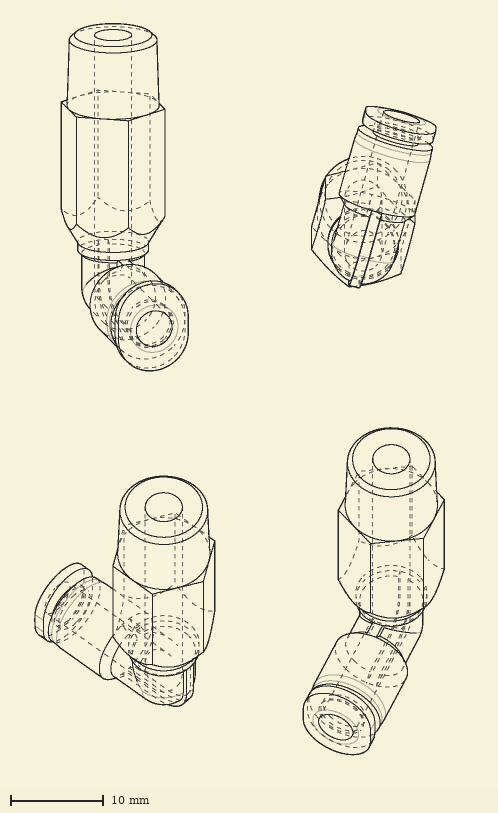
import cadquery as cq
import math

release_height = 9.82
total_height = 33.4
stem_top = total_height - release_height / 2
thread_chamfer_height = 0.55
thread_base = 20.55
stem_collar_top = 5.15
stem_collar_chamfer = 0.4

thread_base_diameter = 9.95
thread_top_diameter = 9.5
thread_tip_diameter = 8.35
hex_across_flats = 10.0
hex_across_corners = hex_across_flats / math.cos(math.pi / 6)
hex_cone_height = 3.3
stem_collar_diameter = 7.65
bore_diameter = 4.0

elbow_radius = 3.4
body_diameter = 8.5
body_radius = body_diameter / 2
stem_collar_base = body_radius
web_thickness = 1.15
web_left = -stem_collar_diameter / 2

body_cone_start = 4.6
body_start = 5.55
body_taper_start = 11.75
body_taper_end = 12.55
body_end = 13.05
neck_flare_start = 13.7
release_start = 13.95
release_rim_end = 15.03
overall_length = 21.28
release_end = overall_length - hex_across_corners / 2

body_tip_diameter = 8.3
neck_diameter = 5.0
neck_flare_diameter = 5.2
release_width = 7.85
release_face_diameter = 5.35


def revolve_about_z(profile):
    """Revolve a closed (radius, z) profile around the inlet axis."""
    return cq.Workplane("XZ").polyline(profile).close().revolve(360, (0, 0), (0, 1))


def revolve_about_x(profile):
    """Revolve a closed (x, radius) profile around the outlet axis."""
    return cq.Workplane("XZ").polyline(profile).close().revolve(360, (0, 0), (1, 0))


def make_elbow(radius, arm_length, stem_height):
    """Two equal cylinders joined by a sphere at the crossing of the axes."""
    stem = cq.Workplane("XY").circle(radius).extrude(stem_height)
    arm = cq.Workplane("YZ").circle(radius).extrude(arm_length)
    return cq.Workplane("XY").sphere(radius).union(stem).union(arm)


def make_thread():
    return revolve_about_z([
        (0, thread_base),
        (thread_base_diameter / 2, thread_base),
        (thread_top_diameter / 2, stem_top - thread_chamfer_height),
        (thread_tip_diameter / 2, stem_top),
        (0, stem_top),
    ])


def make_hex():
    """Hexagonal prism whose lower end is turned to a cone."""
    prism = (
        cq.Workplane("XY", origin=(0, 0, stem_collar_top))
        .polygon(6, hex_across_corners)
        .extrude(thread_base - stem_collar_top)
    )
    envelope = revolve_about_z([
        (0, stem_collar_top),
        (stem_collar_diameter / 2, stem_collar_top),
        (hex_across_corners / 2, stem_collar_top + hex_cone_height),
        (hex_across_corners / 2, thread_base),
        (0, thread_base),
    ])
    return prism.intersect(envelope)


def make_stem_collar():
    collar_radius = stem_collar_diameter / 2
    lower_edge = stem_collar_base - stem_collar_chamfer
    return revolve_about_z([
        (0, lower_edge),
        (elbow_radius, lower_edge),
        (collar_radius, stem_collar_base),
        (collar_radius, stem_collar_top),
        (0, stem_collar_top),
    ])


def make_web():
    """Plate in the plane of both axes, rounded at the outer corner of the elbow."""
    corner_x = web_left + body_radius
    corner_offset = body_radius / math.sqrt(2)
    return (
        cq.Workplane("XZ")
        .moveTo(web_left, body_radius)
        .lineTo(web_left, 0)
        .threePointArc((corner_x - corner_offset, -corner_offset), (corner_x, -body_radius))
        .lineTo(body_start, -body_radius)
        .lineTo(body_start, body_radius)
        .close()
        .extrude(web_thickness / 2, both=True)
    )


def make_outlet_body():
    """Tapered sleeve followed by the narrow neck of the release button."""
    return revolve_about_x([
        (body_cone_start, 0),
        (body_cone_start, elbow_radius),
        (body_start, body_radius),
        (body_taper_start, body_radius),
        (body_taper_end, body_tip_diameter / 2),
        (body_end, body_tip_diameter / 2),
        (body_end, neck_diameter / 2),
        (neck_flare_start, neck_diameter / 2),
        (release_start, neck_flare_diameter / 2),
        (release_start, 0),
    ])


def make_release_button():
    """Obround button with a shallow conical outer face."""
    button = (
        cq.Workplane("YZ", origin=(release_start, 0, 0))
        .slot2D(release_height, release_width, 90)
        .extrude(release_end - release_start)
    )
    envelope = revolve_about_x([
        (release_start, 0),
        (release_start, release_height / 2),
        (release_rim_end, release_height / 2),
        (release_end, release_face_diameter / 2),
        (release_end, 0),
    ])
    return button.intersect(envelope)


solid = make_elbow(elbow_radius, body_start, stem_collar_top)
for feature in (
    make_web(),
    make_stem_collar(),
    make_hex(),
    make_thread(),
    make_outlet_body(),
    make_release_button(),
):
    solid = solid.union(feature)

result = solid.cut(make_elbow(bore_diameter / 2, release_end, stem_top))